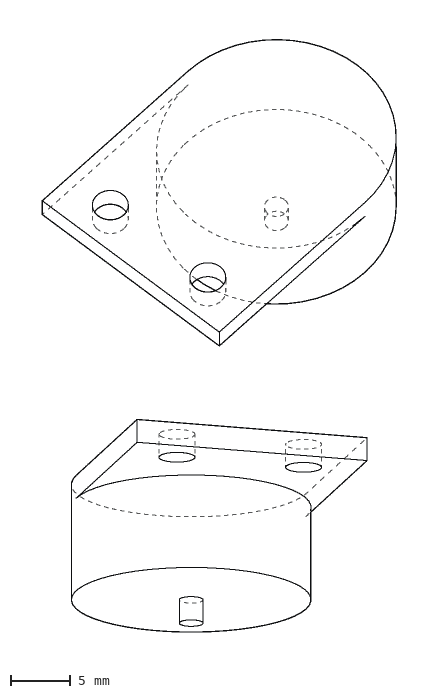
import cadquery as cq

length = 28.0
width = 20.0
total_height = 12.0
body_height = 10.0
plate_thickness = 2.0
pin_diameter = 2.0
hole_diameter = 3.0
hole_spacing = 11.0
hole_edge_distance = 3.5

radius = width / 2
front_y = radius - length
pin_length = total_height - body_height
plate_bottom = body_height - plate_thickness


def make_body():
    """Round drum that fills the rounded end of the plate."""
    return cq.Workplane("XY").circle(radius).extrude(body_height)


def make_plate():
    """Flat mounting plate with a square front and a semicircular back."""
    return (
        cq.Workplane("XY", origin=(0, 0, plate_bottom))
        .moveTo(-radius, front_y)
        .lineTo(radius, front_y)
        .lineTo(radius, 0)
        .threePointArc((0, radius), (-radius, 0))
        .close()
        .extrude(plate_thickness)
    )


def make_pin():
    """Small pin below the body, on the body axis."""
    return cq.Workplane("XY").circle(pin_diameter / 2).extrude(-pin_length)


def make_mounting_holes():
    """Pair of cutters through the plate near its front edge."""
    hole_y = front_y + hole_edge_distance
    return (
        cq.Workplane("XY", origin=(0, 0, plate_bottom))
        .pushPoints([(side * hole_spacing / 2, hole_y) for side in (-1, 1)])
        .circle(hole_diameter / 2)
        .extrude(plate_thickness)
    )


result = make_body().union(make_plate()).union(make_pin()).cut(make_mounting_holes())